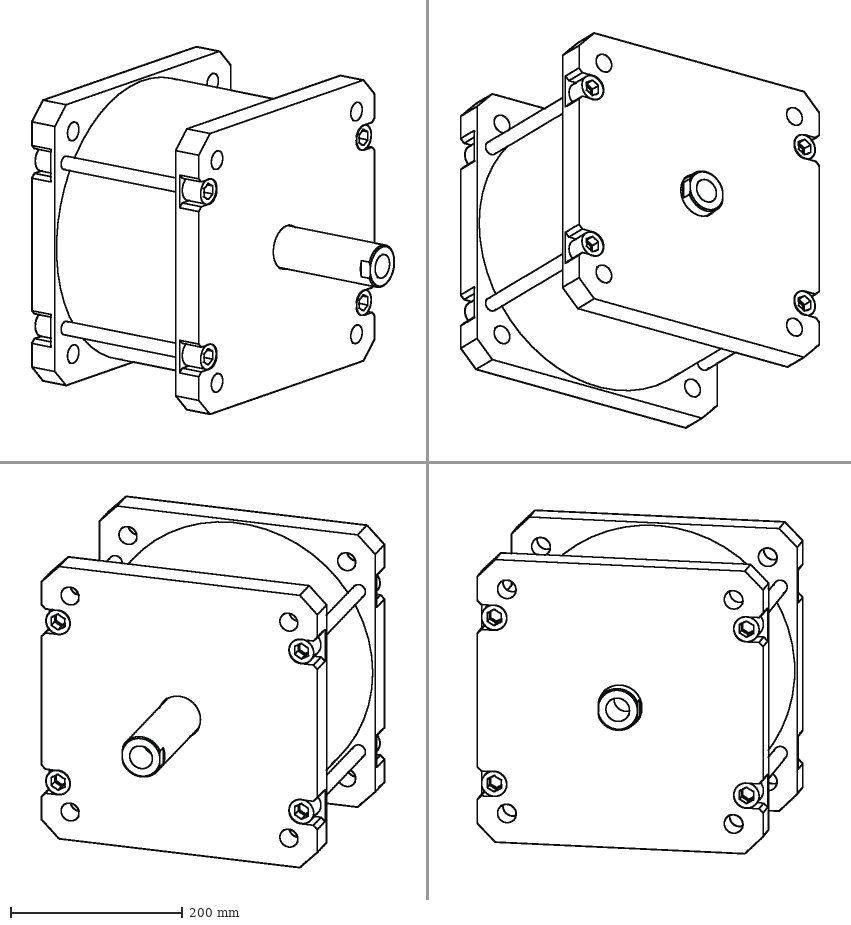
import cadquery as cq
import math

shaft_length = 400.0
shaft_diameter = 50.0
shaft_chamfer = 1.5
wrench_width = 46.0
flat_length = 13.0
drill_diameter = 28.0
drill_depth = 50.0
drill_point_angle = 118.0

plate_size = 340.0
plate_thickness = 34.0
plate_corner_chamfer = 21.5
plates_start = 15.0
plates_end = 260.0
shaft_hole_diameter = 52.0
mounting_hole_diameter = 22.0
mounting_hole_offset = 135.0

barrel_diameter = 334.0

rod_diameter = 16.0
rod_offset_y = 150.0
rod_offset_z = 100.0
head_diameter = 30.0
head_recess = 1.0
pocket_depth = 28.0
pocket_flare = 5.0
socket_width = 17.0
socket_depth = 14.0
socket_bevel = 1.4

barrel_start = plates_start + plate_thickness
barrel_end = plates_end - plate_thickness
plates_middle = (plates_start + plates_end) / 2
shaft_middle = shaft_length / 2
rod_places = [(side_y * rod_offset_y, side_z * rod_offset_z) for side_y in (-1, 1) for side_z in (-1, 1)]


def section_at(x):
    """Workplane facing +X at the given X, centred on the shaft axis, with local axes Y and Z."""
    return cq.Workplane("YZ", origin=(x, 0, 0))


def mirrored_about(x, shape):
    """Mirror image of a shape in the plane at the given X."""
    return shape.mirror("YZ", (x, 0, 0))


def head_pocket(y, z):
    """Cutter for a round-ended pocket that opens, bevelled, through the left plate's near Y side."""
    half_width = head_diameter / 2
    mouth_half_width = half_width + pocket_flare
    mouth_y = plate_size / 2
    bevel_y = mouth_y - pocket_flare
    pocket = (
        section_at(plates_start)
        .moveTo(rod_offset_y, half_width)
        .threePointArc((rod_offset_y - half_width, 0), (rod_offset_y, -half_width))
        .lineTo(bevel_y, -half_width)
        .lineTo(mouth_y, -mouth_half_width)
        .lineTo(mouth_y, mouth_half_width)
        .lineTo(bevel_y, half_width)
        .close()
        .extrude(pocket_depth)
    )
    if y < 0:
        pocket = pocket.mirror("XZ")
    return pocket.translate((0, 0, z))


def make_left_plate():
    """Square end plate with bevelled corners, mounting holes, rod holes and head pockets."""
    section = section_at(plates_start)
    plate = section.rect(plate_size, plate_size).extrude(plate_thickness)
    plate = plate.edges("|X").chamfer(plate_corner_chamfer)

    mounting_spacing = 2 * mounting_hole_offset
    mounting_corners = section.rect(mounting_spacing, mounting_spacing, forConstruction=True).vertices()
    mounting_holes = mounting_corners.circle(mounting_hole_diameter / 2).extrude(plate_thickness)
    shaft_hole = section.circle(shaft_hole_diameter / 2).extrude(plate_thickness)
    rod_holes = section.pushPoints(rod_places).circle(rod_diameter / 2).extrude(plate_thickness)

    plate = plate.cut(mounting_holes).cut(shaft_hole).cut(rod_holes)
    for y, z in rod_places:
        plate = plate.cut(head_pocket(y, z))
    return plate


def make_barrel():
    """Round barrel between the plates, bored for the shaft."""
    return (
        section_at(barrel_start)
        .circle(barrel_diameter / 2)
        .circle(shaft_diameter / 2)
        .extrude(barrel_end - barrel_start)
    )


def shaft_end_flats():
    """Cutter for the two wrench flats at the left end of the shaft."""
    flat_depth = (shaft_diameter - wrench_width) / 2
    flat_centre_y = (wrench_width + flat_depth) / 2
    return (
        section_at(0)
        .pushPoints([(-flat_centre_y, 0), (flat_centre_y, 0)])
        .rect(flat_depth, shaft_diameter)
        .extrude(flat_length)
    )


def shaft_end_drill():
    """Cutter for the hole with a conical bottom at the left end of the shaft."""
    radius = drill_diameter / 2
    point_length = radius / math.tan(math.radians(drill_point_angle / 2))
    return (
        cq.Workplane("XY")
        .polyline([(0, 0), (0, radius), (drill_depth, radius), (drill_depth + point_length, 0)])
        .close()
        .revolve(360, (0, 0, 0), (1, 0, 0))
    )


def make_shaft():
    """Through shaft with chamfered ends, and wrench flats and a drilled hole at each end."""
    shaft = section_at(0).circle(shaft_diameter / 2).extrude(shaft_length)
    shaft = shaft.faces("<X or >X").chamfer(shaft_chamfer)
    for cutter in (shaft_end_flats(), shaft_end_drill()):
        shaft = shaft.cut(cutter).cut(mirrored_about(shaft_middle, cutter))
    return shaft


def hexagon(x, width):
    """Hexagon of the given width across flats, with corners at top and bottom."""
    return section_at(x).transformed(rotate=(0, 0, 90)).polygon(6, width / math.cos(math.pi / 6))


def make_rod(y, z):
    """Tie rod with a hexagon-socket head sunk in each plate."""
    start = plates_start + head_recess
    end = plates_end - head_recess
    rod = section_at(start).circle(rod_diameter / 2).extrude(end - start)
    head = section_at(start).circle(head_diameter / 2).extrude(pocket_depth - head_recess)
    straight_depth = socket_depth - socket_bevel
    socket_floor = hexagon(start + straight_depth, socket_width).extrude(socket_bevel, taper=45)
    socket = hexagon(start, socket_width).extrude(straight_depth).union(socket_floor)
    rod = rod.union(head).union(mirrored_about(plates_middle, head))
    rod = rod.cut(socket).cut(mirrored_about(plates_middle, socket))
    return rod.translate((0, y, z))


left_plate = make_left_plate()
right_plate = mirrored_about(plates_middle, left_plate)
barrel = make_barrel()
shaft = make_shaft()
rods = [make_rod(y, z) for y, z in rod_places]

result = cq.Compound.makeCompound(
    [left_plate.val(), right_plate.val(), barrel.val(), shaft.val(), *[rod.val() for rod in rods]]
)